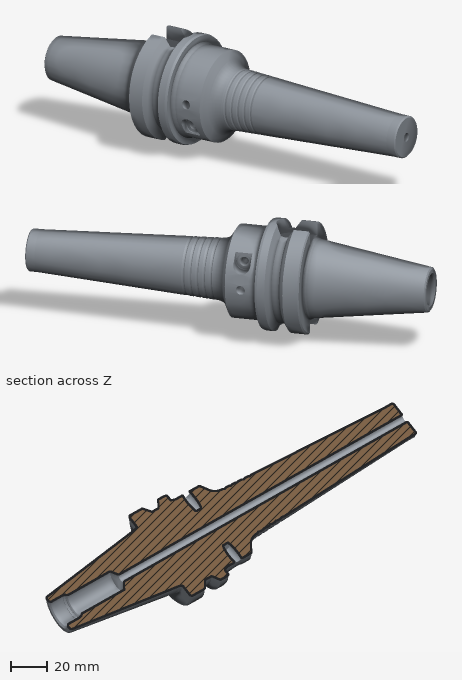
import cadquery as cq
import math

total_length = 230.5

taper_rear_x = 0.7
taper_end_x = 65.5
taper_end_radius = 22.1
taper_slope = 7 / 48
rear_chamfer_radial = 1.0
collar_x = 66.4
collar_radius = 22.5
collar_fillet = 1.0

flange_rear_x = 67.5
flange_front_x = 92.9
flange_radius = 63.0 / 2
face_chamfer_length = 0.7
face_chamfer_radial = 1.0
groove_start_x = 76.7
groove_floor_start_x = 80.2
groove_floor_end_x = 84.3
groove_end_x = 87.0
groove_floor_radius = 26.7
front_chamfer_length = 1.4
front_chamfer_radial = 0.5

body_radius = 52.5 / 2
body_start_x = 95.5
body_end_x = 111.3
body_chamfer = 1.0
body_root_step = 1.0

shoulder_angle = math.radians(60)
shoulder_fillet = 7.8
nose_angle = math.radians(3)
nose_tip_radius = 24.0 / 2
nose_tip_x = 224.9
nose_start_x = 120.5
nose_chamfer = 0.7

ring_count = 5
ring_start_x = 121.2
ring_span = 16.1
ring_pitch = ring_span / (ring_count - 1)
ring_width = 1.87
ring_flank = 0.62
ring_depth = 0.5

mouth_radius = 9.5
mouth_depth = 1.0
pilot_radius = 17.0 / 2
pilot_depth = 8.8
relief_radius = 16.4 / 2
relief_length = 1.4
thread_radius = 16.0 / 2
thread_core_radius = 14.0 / 2
thread_depth = 39.2
drill_point_angle = math.radians(59)
through_radius = 5.0 / 2

keyway_width = 16.0
keyway_end_x = 88.7
keyway_floor = 22.5

pocket_x = 102.3
pocket_z = 12.5
pocket_radius = 4.8
pocket_floor = 19.0
seat_z = 13.0
seat_radius = 9.0 / 2
seat_depth = 0.7
screw_mouth_radius = 5.5 / 2
screw_radius = 4.1 / 2
screw_depth = 4.5
pin_radius = 5.0 / 2
pin_z = 1.4
pin_depth = 12.7
pin_tilt = 15.0


def nose_radius(x):
    """Radius of the nose cone at x."""
    return nose_tip_radius + (nose_tip_x - x) * math.tan(nose_angle)


def cone_height(radius):
    """Height of a drill-point cone that widens by the given radius."""
    return radius / math.tan(drill_point_angle)


def make_body():
    """Outer shape, revolved about X."""
    rear_radius = taper_end_radius - (taper_end_x - taper_rear_x) * taper_slope

    arc_end = (nose_start_x, nose_radius(nose_start_x))
    arc_centre_x = arc_end[0] + shoulder_fillet * math.sin(nose_angle)
    arc_centre_r = arc_end[1] + shoulder_fillet * math.cos(nose_angle)

    def on_fillet(angle):
        return (
            arc_centre_x - shoulder_fillet * math.sin(angle),
            arc_centre_r - shoulder_fillet * math.cos(angle),
        )

    arc_start = on_fillet(shoulder_angle)
    arc_middle = on_fillet((shoulder_angle + nose_angle) / 2)
    shoulder_start_x = body_end_x + body_chamfer
    shoulder_start_r = arc_start[1] + (arc_start[0] - shoulder_start_x) * math.tan(shoulder_angle)

    profile = (
        cq.Workplane("XY")
        .moveTo(0, 0)
        .lineTo(0, rear_radius - rear_chamfer_radial)
        .lineTo(taper_rear_x, rear_radius)
        .lineTo(taper_end_x, taper_end_radius)
        .lineTo(collar_x, collar_radius)
        .lineTo(flange_rear_x - collar_fillet, collar_radius)
        .radiusArc((flange_rear_x, collar_radius + collar_fillet), -collar_fillet)
        .lineTo(flange_rear_x, flange_radius - face_chamfer_radial)
        .lineTo(flange_rear_x + face_chamfer_length, flange_radius)
        .lineTo(groove_start_x, flange_radius)
        .lineTo(groove_floor_start_x, groove_floor_radius)
        .lineTo(groove_floor_end_x, groove_floor_radius)
        .lineTo(groove_end_x, flange_radius)
        .lineTo(flange_front_x - front_chamfer_length, flange_radius)
        .lineTo(flange_front_x, flange_radius - front_chamfer_radial)
        .lineTo(flange_front_x, body_radius + body_root_step)
        .lineTo(body_start_x, body_radius)
        .lineTo(body_end_x, body_radius)
        .lineTo(shoulder_start_x, shoulder_start_r)
        .lineTo(*arc_start)
        .threePointArc(arc_middle, arc_end)
        .lineTo(nose_tip_x, nose_tip_radius)
        .lineTo(total_length - nose_chamfer, nose_tip_radius)
        .lineTo(total_length, nose_tip_radius - nose_chamfer)
        .lineTo(total_length, 0)
        .close()
    )
    return profile.revolve(360, (0, 0, 0), (1, 0, 0))


def make_ring_groove(start_x):
    """Shallow V groove, steeper at the rear, around the nose."""
    end_x = start_x + ring_width
    root_x = start_x + ring_flank
    return (
        cq.Workplane("XY")
        .moveTo(start_x, nose_radius(start_x))
        .lineTo(root_x, nose_radius(root_x) - ring_depth)
        .lineTo(end_x, nose_radius(end_x))
        .lineTo(end_x, body_radius)
        .lineTo(start_x, body_radius)
        .close()
        .revolve(360, (0, 0, 0), (1, 0, 0))
    )


def make_bore():
    """Stepped rear bore with a drill-point floor and a through hole."""
    thread_start_x = pilot_depth + relief_length
    cone_end_x = thread_depth + cone_height(thread_core_radius - through_radius)
    return (
        cq.Workplane("XY")
        .moveTo(0, 0)
        .lineTo(0, mouth_radius)
        .lineTo(mouth_depth, pilot_radius)
        .lineTo(pilot_depth, pilot_radius)
        .lineTo(pilot_depth, relief_radius)
        .lineTo(thread_start_x, relief_radius)
        .lineTo(thread_start_x, thread_radius)
        .lineTo(thread_start_x + thread_radius - thread_core_radius, thread_core_radius)
        .lineTo(thread_depth, thread_core_radius)
        .lineTo(cone_end_x, through_radius)
        .lineTo(total_length, through_radius)
        .lineTo(total_length, 0)
        .close()
        .revolve(360, (0, 0, 0), (1, 0, 0))
    )


def make_keyway():
    """Round-ended slot above the flange, open towards the rear."""
    half_width = keyway_width / 2
    arc_x = keyway_end_x - half_width
    return (
        cq.Workplane("XY", origin=(0, 0, keyway_floor))
        .moveTo(flange_rear_x, -half_width)
        .lineTo(arc_x, -half_width)
        .threePointArc((keyway_end_x, 0), (arc_x, half_width))
        .lineTo(flange_rear_x, half_width)
        .close()
        .extrude(flange_radius)
    )


def make_screw_pocket():
    """Flat pocket on the -Y side, open downwards, with a seat and a blind screw hole."""
    slot = (
        cq.Workplane("XZ", origin=(pocket_x, -pocket_floor, -pocket_z))
        .moveTo(-pocket_radius, 0)
        .threePointArc((0, pocket_radius), (pocket_radius, 0))
        .lineTo(pocket_radius, -body_radius)
        .lineTo(-pocket_radius, -body_radius)
        .close()
        .extrude(body_radius)
    )
    chamfer = screw_mouth_radius - screw_radius
    screw_hole = (
        cq.Workplane("XY", origin=(pocket_x, -pocket_floor, -seat_z))
        .moveTo(0, 0)
        .lineTo(seat_radius, 0)
        .lineTo(seat_radius, seat_depth)
        .lineTo(screw_mouth_radius, seat_depth)
        .lineTo(screw_radius, seat_depth + chamfer)
        .lineTo(screw_radius, screw_depth)
        .lineTo(0, screw_depth + cone_height(screw_radius))
        .close()
        .revolve(360, (0, 0, 0), (0, 1, 0))
    )
    return slot.union(screw_hole)


def make_pin_hole():
    """Tilted blind hole on the -Y side."""
    hole = (
        cq.Workplane("XZ", origin=(pocket_x, -body_radius, pin_z))
        .circle(pin_radius)
        .extrude(pin_depth, both=True)
    )
    mouth = cq.Vector(pocket_x, -body_radius, pin_z)
    return hole.rotate(mouth, mouth + cq.Vector(2.3, 0, 0), -pin_tilt)


result = make_body().cut(make_bore())
for index in range(ring_count):
    result = result.cut(make_ring_groove(ring_start_x + index * ring_pitch))

for cutter in (make_keyway(), make_screw_pocket(), make_pin_hole()):
    result = result.cut(cutter)
    result = result.cut(cutter.rotate((0, 0, 0), (1, 0, 0), 180))